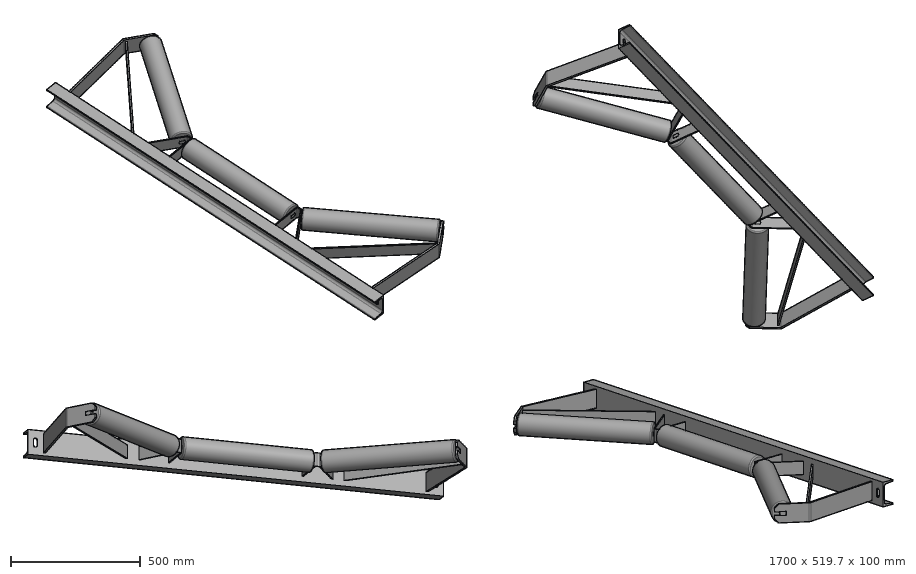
import cadquery as cq
import math


BEAM_LENGTH = 1700.0
BEAM_HEIGHT = 100.0
BEAM_DEPTH = 51.0
WEB_THICKNESS = 7.0
FLANGE_THICKNESS = 8.0
FLANGE_TAPER = 0.08
ROOT_RADIUS = 10.0
TOE_RADIUS = 2.0
MOUNT_SLOT_WIDTH = 15.0
MOUNT_SLOT_LENGTH = 35.0
MOUNT_SLOT_INSET = 30.0

ROLLER_DIAMETER = 88.0
ROLLER_LENGTH = 532.0
ROLLER_EDGE_RADIUS = 5.0
SHAFT_DIAMETER = 25.0
SHAFT_FLAT_WIDTH = 15.0
CENTRE_ROLLER_Y = 168.0
WING_ROLLER_X = 530.0
WING_ROLLER_Y = 333.0
TROUGH_ANGLE = 35.0
END_GAP = 5.0

OUTER_WIDTH = 76.0
OUTER_THICKNESS = 8.0
OUTER_TOP_RISE = 32.0
OUTER_FOLD_DROP = 105.0
OUTER_FOLD_RADIUS = 5.0
OUTER_FOOT_X = 787.0
OUTER_CORNER_CUT = 15.0

INNER_WIDTH = 55.0
INNER_THICKNESS = 5.0
INNER_TOP_Y = 197.0
INNER_FOLD_RADIUS = 3.0

BRACE_WIDTH = 55.0
BRACE_THICKNESS = 7.0
BRACE_FOOT_X = 447.0
BRACE_TOP_DROP = 94.0

X_AXIS = cq.Vector(1, 0, 0)
Z_AXIS = cq.Vector(0, 0, 1)
SLOPE = math.radians(TROUGH_ANGLE)
WING_AXIS = cq.Vector(math.cos(SLOPE), -math.sin(SLOPE), 0)
WING_RISE = cq.Vector(math.sin(SLOPE), math.cos(SLOPE), 0)

CENTRE_MIDDLE = cq.Vector(0, CENTRE_ROLLER_Y, 0)
WING_MIDDLE = cq.Vector(-WING_ROLLER_X, WING_ROLLER_Y, 0)
SEAT = ROLLER_LENGTH / 2 + END_GAP
INNER_REACH = SEAT + INNER_THICKNESS
OUTER_REACH = SEAT + OUTER_THICKNESS


def wing_point(along, up):
    """Point of the XY plane, along the left wing roller's axis and up across it."""
    return WING_MIDDLE + WING_AXIS * along + WING_RISE * up


def at_height(start, direction, y):
    """Point where the line through start reaches the given Y."""
    return start + direction * ((y - start.y) / direction.y)


def corner(start_a, direction_a, start_b, direction_b):
    """Point of the XY plane where two lines meet."""
    gap = start_b - start_a
    turn = direction_a.cross(direction_b).z
    return start_a + direction_a * (gap.cross(direction_b).z / turn)


def strip(points, width):
    """Outline in the XY plane, extruded evenly to both sides of Z = 0."""
    outline = [(point.x, point.y) for point in points]
    return cq.Workplane("XY").polyline(outline).close().extrude(width / 2, both=True)


def nearest(body, point):
    """The edge of the body whose middle is nearest to the point."""
    return body.edges(cq.selectors.NearestToPointSelector(point.toTuple()))


def make_beam():
    half = BEAM_HEIGHT / 2
    web_face = BEAM_DEPTH - WEB_THICKNESS
    toe = half - FLANGE_THICKNESS + FLANGE_TAPER * BEAM_DEPTH / 2
    root = toe - FLANGE_TAPER * web_face
    outline = [
        (0, half), (BEAM_DEPTH, half), (BEAM_DEPTH, -half), (0, -half),
        (0, -toe), (web_face, -root), (web_face, root), (0, toe),
    ]
    beam = cq.Workplane("YZ").polyline(outline).close().extrude(BEAM_LENGTH / 2, both=True)
    for side in (-1, 1):
        beam = nearest(beam, cq.Vector(0, web_face, side * root)).fillet(ROOT_RADIUS)
        beam = nearest(beam, cq.Vector(0, 0, side * toe)).fillet(TOE_RADIUS)
    slot_x = BEAM_LENGTH / 2 - MOUNT_SLOT_INSET
    slots = (
        cq.Workplane("XZ").pushPoints([(-slot_x, 0), (slot_x, 0)])
        .slot2D(MOUNT_SLOT_LENGTH, MOUNT_SLOT_WIDTH, 90).extrude(-BEAM_DEPTH)
    )
    return beam.cut(slots)


def make_roller(middle, axis, start_reach, end_reach):
    """Roller whose flatted shaft reaches the far faces of the brackets at its start and end."""
    barrel_plane = cq.Plane(origin=middle - axis * (ROLLER_LENGTH / 2), xDir=Z_AXIS, normal=axis)
    barrel = (
        cq.Workplane(barrel_plane).circle(ROLLER_DIAMETER / 2).extrude(ROLLER_LENGTH)
        .edges("%CIRCLE").fillet(ROLLER_EDGE_RADIUS)
    )
    shaft_plane = cq.Plane(origin=middle - axis * start_reach, xDir=Z_AXIS, normal=axis)
    shaft_length = start_reach + end_reach
    shaft = cq.Workplane(shaft_plane).circle(SHAFT_DIAMETER / 2).extrude(shaft_length)
    flats = cq.Workplane(shaft_plane).rect(SHAFT_FLAT_WIDTH, SHAFT_DIAMETER).extrude(shaft_length)
    return barrel.union(shaft.intersect(flats))


def make_outer_bracket():
    """Leg from the beam, folded across the end of the wing roller, with an open shaft slot."""
    outer_fold = wing_point(-OUTER_REACH, -OUTER_FOLD_DROP)
    outer_foot = cq.Vector(-OUTER_FOOT_X, BEAM_DEPTH, 0)
    leg = (outer_foot - outer_fold).normalized()
    leg_inner = outer_foot + Z_AXIS.cross(leg) * OUTER_THICKNESS
    inner_fold = corner(leg_inner, leg, wing_point(-SEAT, 0), WING_RISE)
    outline = [
        outer_foot, outer_fold, wing_point(-OUTER_REACH, OUTER_TOP_RISE),
        wing_point(-SEAT, OUTER_TOP_RISE), inner_fold, at_height(leg_inner, leg, BEAM_DEPTH),
    ]
    bracket = strip(outline, OUTER_WIDTH)
    bracket = nearest(bracket, outer_fold).fillet(OUTER_FOLD_RADIUS + OUTER_THICKNESS)
    bracket = nearest(bracket, inner_fold).fillet(OUTER_FOLD_RADIUS)
    top_middle = wing_point(-SEAT - OUTER_THICKNESS / 2, OUTER_TOP_RISE)
    for side in (-1, 1):
        top_corner = top_middle + Z_AXIS * (side * OUTER_WIDTH / 2)
        bracket = nearest(bracket, top_corner).chamfer(OUTER_CORNER_CUT)
    slot_bottom = -SHAFT_DIAMETER / 2
    slot_outline = [
        wing_point(-OUTER_REACH, slot_bottom), wing_point(-OUTER_REACH, OUTER_TOP_RISE),
        wing_point(-SEAT, OUTER_TOP_RISE), wing_point(-SEAT, slot_bottom),
    ]
    return bracket.cut(strip(slot_outline, SHAFT_FLAT_WIDTH))


def make_inner_bracket(rollers):
    """Ramp across the wing roller, a short flat top and an upright across the centre roller."""
    ramp_near = wing_point(SEAT, 0)
    ramp_far = wing_point(INNER_REACH, 0)
    under_top = INNER_TOP_Y - INNER_THICKNESS
    outside_folds = [at_height(ramp_near, WING_RISE, INNER_TOP_Y), cq.Vector(-SEAT, INNER_TOP_Y, 0)]
    inside_folds = [cq.Vector(-INNER_REACH, under_top, 0), at_height(ramp_far, WING_RISE, under_top)]
    outline = [
        at_height(ramp_near, WING_RISE, BEAM_DEPTH), *outside_folds, cq.Vector(-SEAT, BEAM_DEPTH, 0),
        cq.Vector(-INNER_REACH, BEAM_DEPTH, 0), *inside_folds, at_height(ramp_far, WING_RISE, BEAM_DEPTH),
    ]
    bracket = strip(outline, INNER_WIDTH)
    for fold in outside_folds:
        bracket = nearest(bracket, fold).fillet(INNER_FOLD_RADIUS + INNER_THICKNESS)
    for fold in inside_folds:
        bracket = nearest(bracket, fold).fillet(INNER_FOLD_RADIUS)
    for roller in rollers:
        bracket = bracket.cut(roller)
    return bracket


def make_brace():
    """Straight brace from the beam to the inner face of the outer bracket, just above its fold."""
    top = wing_point(-SEAT, -BRACE_TOP_DROP)
    foot = cq.Vector(-BRACE_FOOT_X, BEAM_DEPTH, 0)
    run = (foot - top).normalized()
    half_thickness = Z_AXIS.cross(run) * (BRACE_THICKNESS / 2)
    upper = foot + half_thickness
    lower = foot - half_thickness
    outline = [
        corner(upper, run, top, WING_RISE), at_height(upper, run, BEAM_DEPTH),
        at_height(lower, run, BEAM_DEPTH), corner(lower, run, top, WING_RISE),
    ]
    return strip(outline, BRACE_WIDTH)


beam = make_beam()
centre_roller = make_roller(CENTRE_MIDDLE, X_AXIS, INNER_REACH, INNER_REACH)
wing_roller = make_roller(WING_MIDDLE, WING_AXIS, OUTER_REACH, INNER_REACH)
outer_bracket = make_outer_bracket()
inner_bracket = make_inner_bracket([centre_roller, wing_roller])
brace = make_brace()

bodies = [beam, centre_roller]
for left_body in (wing_roller, outer_bracket, inner_bracket, brace):
    bodies += [left_body, left_body.mirror("YZ")]
result = cq.Compound.makeCompound([body.solids().val() for body in bodies])